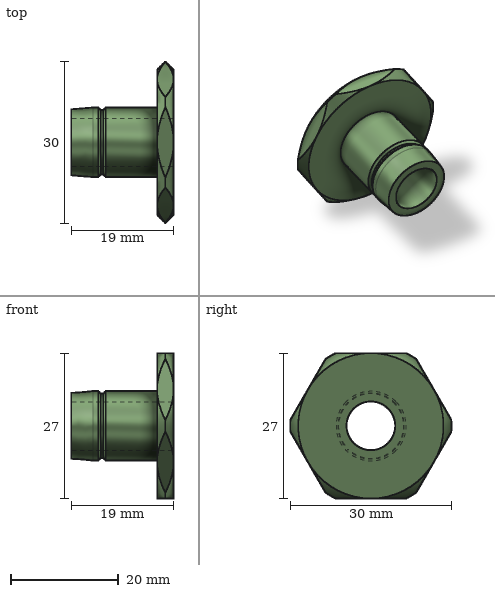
import cadquery as cq
import math

total_length = 19.0
flange_thickness = 3.05
across_flats = 27.0
corner_diameter = 30.0
bore_radius = 4.5

tip_radius = 6.15
barrel_radius = 6.48
taper_length = 4.0
groove_start = 5.0
groove_step = 0.48
groove_radius = 6.03

flange_face = total_length - flange_thickness
flange_middle = total_length - flange_thickness / 2


def revolve_about_x(profile):
    return profile.close().revolve(360, (0, 0, 0), (1, 0, 0))


def make_spigot():
    """Tapered barrel with a shallow V-sided retaining groove."""
    profile = (
        cq.Workplane("XY")
        .moveTo(0, 0)
        .lineTo(0, tip_radius)
        .lineTo(taper_length, barrel_radius)
        .lineTo(groove_start, barrel_radius)
        .lineTo(groove_start + groove_step, groove_radius)
        .lineTo(groove_start + 2 * groove_step, groove_radius)
        .lineTo(groove_start + 3 * groove_step, barrel_radius)
        .lineTo(flange_middle, barrel_radius)
        .lineTo(flange_middle, 0)
    )
    return revolve_about_x(profile)


def make_flange():
    """Hexagon with its corners trimmed by two cones meeting at mid-thickness."""
    hexagon = (
        cq.Workplane("YZ", origin=(flange_face, 0, 0))
        .polygon(6, across_flats / math.cos(math.pi / 6))
        .extrude(flange_thickness)
    )
    trim_profile = (
        cq.Workplane("XY")
        .moveTo(flange_face, 0)
        .lineTo(flange_face, across_flats / 2)
        .lineTo(flange_middle, corner_diameter / 2)
        .lineTo(total_length, across_flats / 2)
        .lineTo(total_length, 0)
    )
    return hexagon.intersect(revolve_about_x(trim_profile))


bore = cq.Workplane("YZ").circle(bore_radius).extrude(total_length)
result = make_spigot().union(make_flange()).cut(bore)